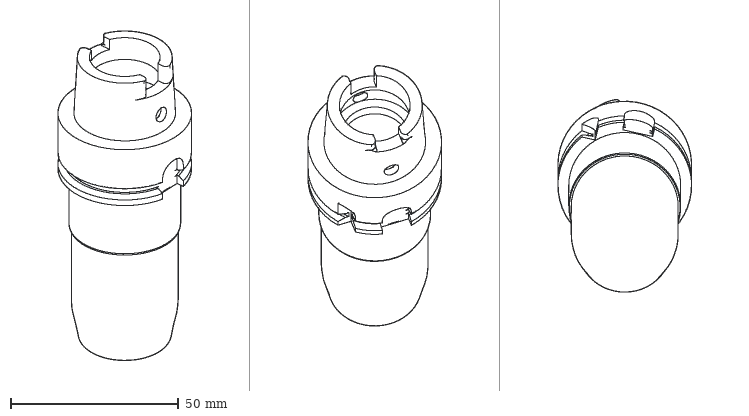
import cadquery as cq
import math

shank_top = 20.0
shank_root_radius = 15.2
shank_tip_radius = 14.2
cross_hole_diameter = 4.6
cross_hole_height = 6.0

bore_radius = 21.1 / 2
bore_lip = 12.2
undercut_radius = 25.6 / 2
undercut_bottom = 3.7
pilot_radius = 10.0
pilot_floor = 0.0

keyway_width = 8.1
deep_keyway_floor = 13.9
shallow_keyway_floor = 16.4
corner_radius = 1.5
corner_tangent_radius = 14.3
corner_run_out = 2.4
corner_flare = 0.8

flange_radius = 20.0
flange_bottom = -20.0
groove_radius = 17.4
groove_lip_radius = 18.2
groove_middle = -16.0
groove_mouth = 4.0
groove_floor_width = 2.0

slot_width = 9.2
slot_top = -8.0
slot_floor = 17.0
side_notch_radius = 4.1
side_notch_floor = 12.0
side_notch_offset = 16.0

collar_radius = 33.5 / 2
collar_bottom = -40.0
collar_chamfer_height = 0.6
collar_chamfer_width = 0.2
body_radius = 16.0
nose_top = -66.8
nose_blend_height = 3.5
nose_angle = math.radians(11)
body_bottom = -79.9
nose_fillet = 1.2


def turned_body():
    """Solid of revolution: shank, grooved flange, collar and tapered nose."""
    blend_radius = nose_blend_height / math.sin(nose_angle)

    def blend_point(angle):
        radius = body_radius - blend_radius * (1 - math.cos(angle))
        return radius, nose_top - blend_radius * math.sin(angle)

    cone_start = blend_point(nose_angle)
    nose_radius = cone_start[0] - (cone_start[1] - body_bottom) * math.tan(nose_angle)
    profile = (
        cq.Workplane("XZ")
        .moveTo(0, shank_top)
        .lineTo(shank_tip_radius, shank_top)
        .lineTo(shank_root_radius, 0)
        .lineTo(flange_radius, 0)
        .lineTo(flange_radius, groove_middle + groove_mouth / 2)
        .lineTo(groove_lip_radius, groove_middle + groove_floor_width / 2)
        .lineTo(groove_radius, groove_middle + groove_floor_width / 2)
        .lineTo(groove_radius, groove_middle - groove_floor_width / 2)
        .lineTo(groove_lip_radius, groove_middle - groove_floor_width / 2)
        .lineTo(flange_radius, groove_middle - groove_mouth / 2)
        .lineTo(flange_radius, flange_bottom)
        .lineTo(collar_radius, flange_bottom)
        .lineTo(collar_radius, collar_bottom + collar_chamfer_height)
        .lineTo(collar_radius - collar_chamfer_width, collar_bottom)
        .lineTo(body_radius, collar_bottom)
        .lineTo(body_radius, nose_top)
        .threePointArc(blend_point(nose_angle / 2), cone_start)
        .lineTo(nose_radius, body_bottom)
        .lineTo(0, body_bottom)
        .close()
    )
    return profile.revolve(360, (0, 0, 0), (0, 1, 0)).faces("<Z").edges().fillet(nose_fillet)


def shank_bore():
    """Bore with a square shoulder, an undercut and a shallow pilot recess."""
    return (
        cq.Workplane("XZ")
        .moveTo(0, shank_top)
        .lineTo(bore_radius, shank_top)
        .lineTo(bore_radius, bore_lip)
        .lineTo(undercut_radius, bore_lip)
        .lineTo(undercut_radius, undercut_bottom)
        .lineTo(pilot_radius, undercut_bottom)
        .lineTo(pilot_radius, pilot_floor)
        .lineTo(0, pilot_floor)
        .close()
        .revolve(360, (0, 0, 0), (0, 1, 0))
    )


def keyway(floor, flare=0):
    """Cutter for a +X keyway that rounds its outer wall corners, flared at the floor if wanted."""
    depth = shank_top - floor
    half_width = keyway_width / 2
    center_y = half_width + corner_radius
    reach = corner_tangent_radius - corner_radius
    center_x = math.sqrt(reach**2 - center_y**2)
    bearing = math.asin(center_y / reach)
    outer_x = shank_root_radius + corner_radius

    def corner_arc_point(angle):
        return center_x + corner_radius * math.cos(angle), center_y + corner_radius * math.sin(angle)

    tangent_point = corner_arc_point(bearing)
    run_out_point = (
        tangent_point[0] - corner_run_out * math.sin(bearing),
        tangent_point[1] + corner_run_out * math.cos(bearing),
    )
    corner = (
        cq.Workplane("XY", origin=(0, 0, floor))
        .moveTo(center_x, half_width)
        .threePointArc(corner_arc_point((bearing - math.pi / 2) / 2), tangent_point)
        .lineTo(*run_out_point)
        .lineTo(outer_x, run_out_point[1])
        .lineTo(outer_x, half_width)
        .close()
        .extrude(depth)
    )
    if flare:
        foot = cq.Solid.makeCone(
            corner_radius + flare, corner_radius, flare, pnt=cq.Vector(center_x, center_y, floor)
        )
        corner = corner.cut(cq.Workplane(foot))
    channel = cq.Workplane("XY").box(
        shank_root_radius, keyway_width, depth, centered=(False, True, False)
    )
    return channel.translate((0, 0, floor)).union(corner).union(corner.mirror("XZ"))


def round_top_notch(radius, floor_distance):
    """Cutter for a round-topped notch on the +X side, with a flat floor facing +X."""
    height = slot_top - radius - flange_bottom
    leg = (
        cq.Workplane("YZ", origin=(floor_distance, 0, 0))
        .center(0, flange_bottom + height / 2)
        .rect(2 * radius, height)
        .extrude(flange_radius)
    )
    top = (
        cq.Workplane("YZ", origin=(floor_distance, 0, 0))
        .center(0, slot_top - radius)
        .circle(radius)
        .extrude(flange_radius)
    )
    return leg.union(top)


def on_minus_x(cutter):
    return cutter.mirror("YZ")


cross_hole = (
    cq.Workplane("YZ", origin=(-flange_radius, 0, cross_hole_height))
    .circle(cross_hole_diameter / 2)
    .extrude(2 * flange_radius)
)
drive_slot = round_top_notch(slot_width / 2, slot_floor)
side_notch = round_top_notch(side_notch_radius, side_notch_floor).translate((0, side_notch_offset, 0))

result = (
    turned_body()
    .cut(shank_bore())
    .cut(cross_hole)
    .cut(keyway(deep_keyway_floor))
    .cut(on_minus_x(keyway(shallow_keyway_floor, corner_flare)))
    .cut(drive_slot)
    .cut(on_minus_x(drive_slot))
    .cut(on_minus_x(side_notch))
)